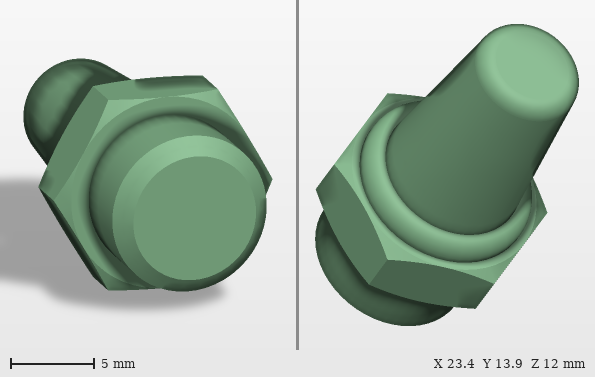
import cadquery as cq
import math

total_length = 23.4
spigot_length = 5.5
hex_thickness = 4.0
collar_length = 1.4
hex_end = total_length - spigot_length
hex_start = hex_end - hex_thickness
collar_start = hex_start - collar_length

tip_radius = 3.28
nose_base_radius = 4.4
tip_rounding = 0.98

collar_radius = 5.5
collar_rounding = collar_radius - nose_base_radius

across_flats = 12.0
across_corners = across_flats / math.cos(math.radians(30))
hex_chamfer_angle = 30.0

spigot_radius = 4.9
spigot_chamfer = 1.0


def axial_cylinder(radius, start, end):
    return cq.Workplane("YZ", origin=(start, 0, 0)).circle(radius).extrude(end - start)


def revolve_about_x(points):
    """Revolve an (axial position, radius) outline around the X axis."""
    return cq.Workplane("XY").polyline(points).close().revolve(360, (0, 0, 0), (1, 0, 0))


def make_nose():
    outline = [(0, 0), (0, tip_radius), (collar_start, nose_base_radius), (collar_start, 0)]
    return revolve_about_x(outline).faces("<X").edges().fillet(tip_rounding)


def make_collar():
    collar = axial_cylinder(collar_radius, collar_start, hex_start)
    return collar.faces("<X").edges().fillet(collar_rounding)


def make_hexagon():
    prism = (
        cq.Workplane("YZ", origin=(hex_start, 0, 0))
        .polygon(6, across_corners)
        .extrude(hex_thickness)
    )
    flat_radius = across_flats / 2
    corner_radius = across_corners / 2
    chamfer_depth = (corner_radius - flat_radius) * math.tan(math.radians(hex_chamfer_angle))
    envelope = revolve_about_x([
        (hex_start, 0),
        (hex_start, flat_radius),
        (hex_start + chamfer_depth, corner_radius),
        (hex_end - chamfer_depth, corner_radius),
        (hex_end, flat_radius),
        (hex_end, 0),
    ])
    return prism.intersect(envelope)


def make_spigot():
    spigot = axial_cylinder(spigot_radius, hex_end, total_length)
    return spigot.faces(">X").edges().chamfer(spigot_chamfer)


result = make_nose().union(make_collar()).union(make_hexagon()).union(make_spigot())